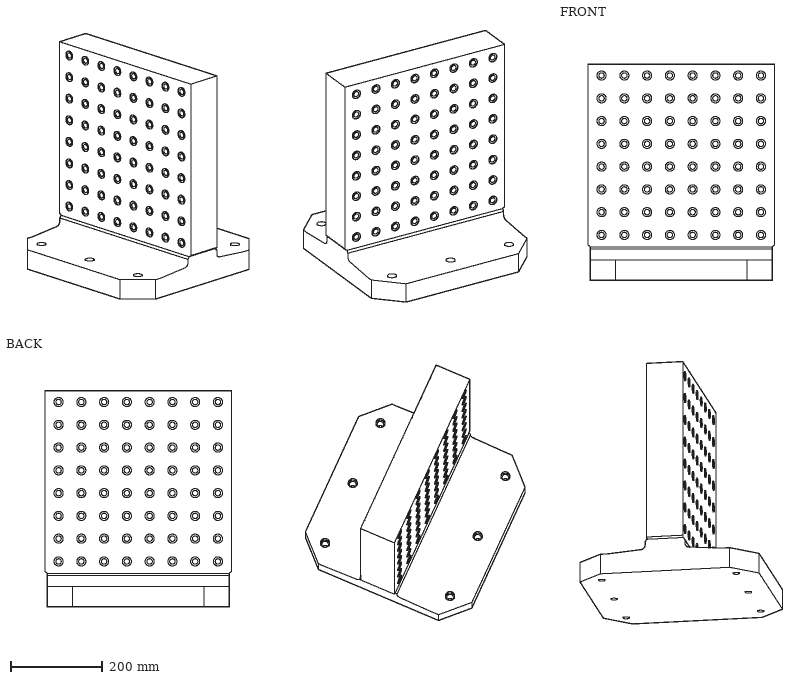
import cadquery as cq
import math

base_size = 400.0
base_height = 45.0
corner_cut = 55.5

total_height = 475
upright_width = 410.0
upright_thickness = 81.0
upright_bottom = 73.5
overhang_rise = 4.0

neck_half_thickness = 44.5
neck_top = 68.5
neck_fillet = 10.0
slope_start = 128.0
slope_angle = 4.5

mount_columns = 3
mount_rows = 2
mount_spacing = 150.0
mount_diameter = 14.2
mount_bore_diameter = 20.0
mount_bore_depth = 12.0

grid_count = 8
grid_span = 350.0
grid_top_margin = 25.0
grid_hole_diameter = 12.0
grid_hole_depth = 28.5
grid_bore_diameter = 20.0
grid_bore_depth = 1.5

half_base = base_size / 2
half_upright = upright_thickness / 2
slope_run = slope_start - neck_half_thickness
slope_top = base_height + slope_run * math.tan(math.radians(slope_angle))


def make_base_and_neck():
    """Sloped base with a filleted neck, extruded along X, corners cut off."""
    half_profile = [
        (half_base, 0),
        (half_base, base_height),
        (slope_start, base_height),
        (neck_half_thickness, slope_top),
        (neck_half_thickness, neck_top),
        (half_upright, upright_bottom),
    ]
    mirrored_profile = [(-y, z) for y, z in reversed(half_profile)]
    body = (
        cq.Workplane("YZ")
        .polyline(half_profile + mirrored_profile)
        .close()
        .extrude(half_base, both=True)
    )
    for side in (-1, 1):
        root_edge = cq.NearestToPointSelector((0, side * neck_half_thickness, slope_top))
        body = body.edges(root_edge).fillet(neck_fillet)
    outline = (
        cq.Workplane("XY")
        .rect(base_size, base_size)
        .extrude(total_height)
        .edges("|Z")
        .chamfer(corner_cut)
    )
    return body.intersect(outline)


def make_upright():
    """Plate overhanging the base sideways, its underside sloping out to the full width."""
    half_width = upright_width / 2
    overhang_top = upright_bottom + overhang_rise
    face_outline = [
        (-half_base, upright_bottom),
        (half_base, upright_bottom),
        (half_width, overhang_top),
        (half_width, total_height),
        (-half_width, total_height),
        (-half_width, overhang_top),
    ]
    return cq.Workplane("XZ").polyline(face_outline).close().extrude(half_upright, both=True)


def drill_base(body):
    """Three counterbored through holes along the front and the back of the base."""
    row_spacing = 2 * mount_spacing
    return (
        body.copyWorkplane(cq.Workplane("XY", origin=(0, 0, base_height)))
        .rarray(mount_spacing, row_spacing, mount_columns, mount_rows)
        .cboreHole(mount_diameter, mount_bore_diameter, mount_bore_depth)
    )


def drill_upright(body):
    """Square grid of stepped blind holes in the front and back faces."""
    grid_pitch = grid_span / (grid_count - 1)
    grid_center = total_height - grid_top_margin - grid_span / 2
    for side in (-1, 1):
        face = cq.Plane(
            origin=(0, side * half_upright, grid_center),
            xDir=(1, 0, 0),
            normal=(0, side, 0),
        )
        body = (
            body.copyWorkplane(cq.Workplane(face))
            .rarray(grid_pitch, grid_pitch, grid_count, grid_count)
            .cboreHole(grid_hole_diameter, grid_bore_diameter, grid_bore_depth, grid_hole_depth)
        )
    return body


solid_body = make_base_and_neck().union(make_upright())
result = drill_upright(drill_base(solid_body))